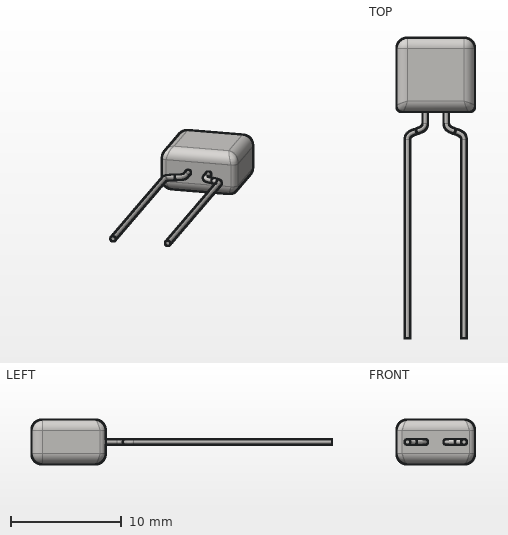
import cadquery as cq

overall_length = 27.15

housing_width = 7.1
housing_depth = 6.73
housing_height = 4.07
edge_radius = 1.0
front_corner_radius = 0.52

lead_diameter = 0.52
exit_offset = 0.95
tail_offset = 2.55
exit_length = 1.0
bend_length = 1.47
bend_handle = 0.92
lead_length = overall_length - housing_depth


def make_housing():
    """Rounded block with tighter upright corners at the lead face."""
    block = cq.Workplane("XY").box(
        housing_width, housing_depth, housing_height, centered=(True, False, True)
    )
    block = block.edges("|Z and <Y").fillet(front_corner_radius)
    block = block.edges("|Z and >Y").fillet(edge_radius)
    return block.faces("<Z or >Z").edges().fillet(edge_radius)


def make_lead(side):
    """Round wire with a smooth outward S-bend; side is -1 for left and +1 for right."""
    exit_x = side * exit_offset
    tail_x = side * tail_offset
    bend_end = exit_length + bend_length
    bend_poles = [
        (exit_x, -(exit_length + bend_handle)),
        (tail_x, -(bend_end - bend_handle)),
        (tail_x, -bend_end),
    ]

    path = (
        cq.Workplane("XY")
        .moveTo(exit_x, 0)
        .lineTo(exit_x, -exit_length)
        .bezier(bend_poles, includeCurrent=True)
        .lineTo(tail_x, -lead_length)
    )
    start_plane = cq.Workplane("XZ", origin=(exit_x, 0, 0))
    return start_plane.circle(lead_diameter / 2).sweep(path, isFrenet=True)


housing = make_housing()
leads = [make_lead(side) for side in (-1, 1)]

result = cq.Compound.makeCompound([housing.val(), *[lead.val() for lead in leads]])